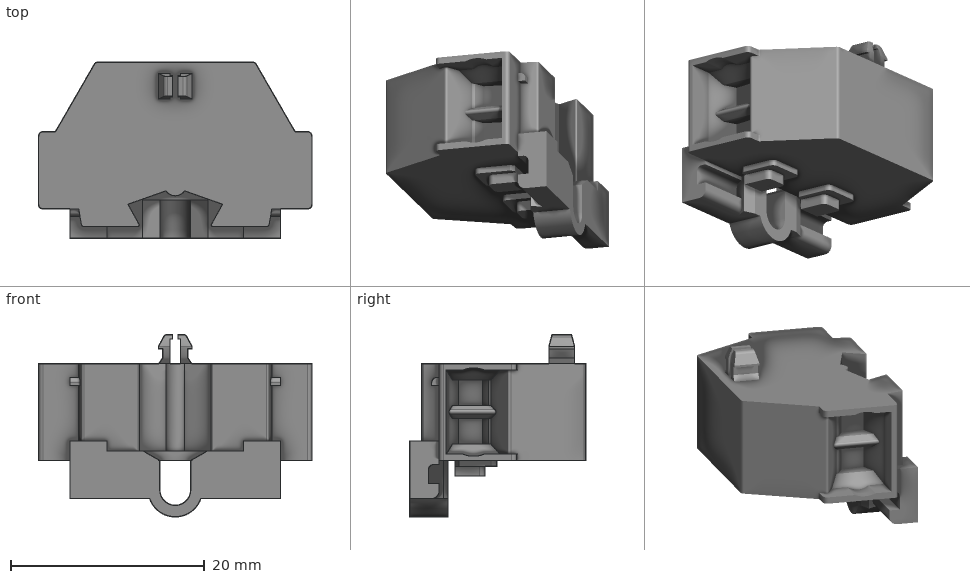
import cadquery as cq
import math


HALF_LENGTH = 14.1
HEIGHT = 10.0
BACK_Y = 18.2
WING_BACK_Y = 11.03
WING_FRONT_Y = 3.05
NOSE_FRONT_Y = 1.25
SHOULDER_X = 12.35
SLOPE_ANGLE = 60.0
NOSE_HALF_ROOT = 9.95
NOSE_HALF_TIP = 9.65
BACK_ROUND = 0.42
WING_BACK_ROUND = 0.5
WING_FRONT_ROUND = 0.45
SHOULDER_ROUND = 0.2
NOSE_ROUND = 0.25

DOVETAIL_MOUTH_X = 3.6
DOVETAIL_WIDE_X = 4.88
DOVETAIL_WIDE_Y = 3.52
DOVETAIL_RIDGE_X = 0.95
DOVETAIL_RIDGE_Y = 4.9
DOVETAIL_BUMP_Y = 4.4
MOUTH_ROUND = 0.15

PLATE = 0.68
WALL_Y = 3.78
FUNNEL_X = 11.28
FUNNEL_BACK_Y = 9.33
THROAT_X = 9.65
THROAT_FRONT_Y = 4.43
ENTRY_ANGLE = 30.0
FUNNEL_RISE = 1.02
LEDGE = 0.25
CHAMBER_BACK_DROP = 0.62
CHAMBER_END_X = 8.12
CORE_ROUND = 0.25
DIVIDER = 1.35
DIVIDER_NOSE = 0.5
NOSE_BULGE = 0.2
SCALLOP_Y = 6.6
SCALLOP_HALF = 1.1
SCALLOP_DEPTH = 0.23

FOOT_HALF = 10.85
FOOT_TOP = 2.03
FOOT_STEP_X = 7.02
FOOT_STEP_Z = 1.02
FOOT_BOTTOM = -3.92
TONGUE_BACK_Y = 3.98
SLOT_RADIUS = 1.58
EYE_RADIUS = 2.8
EYE_Z = -3.02
V_HALF = 3.35
HOOK_TOP_Z = -0.4
HOOK_LIP_Z = -2.37
HOOK_FLOOR_Y = 1.95
HOOK_ROUND = 0.55
FOOT_ROUND = 0.8

PEG_BACK_Y = 17.03
PEG_FRONT_Y = 14.35
PEG_TOP = 13.0
PEG_GAP = 0.54
PEG_LIP = 0.28
PEG_LIP_Z = 12.52
PEG_STEM_X = 1.3
PEG_ROOT_X = 1.7
PEG_ROOT_Z = 10.6
PEG_BARB_X = 1.75
PEG_BARB_Z = 11.75
PEG_BARB_THICK = 0.23
PEG_SHOULDER_X = 1.07
PEG_ROUND = 0.45
PEG_TAPER = 0.35

NIB_BOTTOM = 7.73
NIB_TOP = 8.57
NIB_FRONT_Y = 2.28
NIB_ROUND = 0.54

PAD_FRONT_Y = 4.68
PAD_X = 4.8
PAD_ROUND = 0.6
PAD_CHAMFER = 0.42
PAD_BACK_Y = 9.0
PAD_HALF = 2.25
PAD_DEPTH = 0.6
STUD_BACK_Y = 7.78
STUD_HALF = 1.4
STUD_DEPTH = 1.6

MID_Z = HEIGHT / 2
EPS = 0.28
SLOPE_RUN = 1 / math.tan(math.radians(SLOPE_ANGLE))
ROOF_SLOPE = (DOVETAIL_RIDGE_Y - DOVETAIL_WIDE_Y) / (DOVETAIL_WIDE_X - DOVETAIL_RIDGE_X)
TONGUE_BACK_X = DOVETAIL_WIDE_X - (TONGUE_BACK_Y - DOVETAIL_WIDE_Y) / ROOF_SLOPE
ENTRY_SLOPE = math.tan(math.radians(ENTRY_ANGLE))


def mirrored(points):
    """Close a right-hand chain of points with its mirror image in X = 0."""
    return points + [(-x, y) for x, y in reversed(points)]


def both_sides(solid):
    """Add the mirror image of a right-hand solid."""
    return solid.union(solid.mirror("YZ"))


def round_at(solid, x, y, radius):
    """Round the vertical edges at (x, y) and (-x, y)."""
    reach = 0.015
    for side in (x, -x):
        box = cq.selectors.BoxSelector(
            (side - reach, y - reach, -HEIGHT), (side + reach, y + reach, 2 * HEIGHT)
        )
        solid = solid.edges("|Z").edges(box).fillet(radius)
    return solid


def make_body():
    """Upright prism with sloped flanks, two wings and a dovetail groove in the nose."""
    back_x = SHOULDER_X - (BACK_Y - WING_BACK_Y) * SLOPE_RUN
    right_half = [
        (back_x, BACK_Y),
        (SHOULDER_X, WING_BACK_Y),
        (HALF_LENGTH, WING_BACK_Y),
        (HALF_LENGTH, WING_FRONT_Y),
        (NOSE_HALF_ROOT, WING_FRONT_Y),
        (NOSE_HALF_TIP, NOSE_FRONT_Y),
        (DOVETAIL_MOUTH_X, NOSE_FRONT_Y),
        (DOVETAIL_WIDE_X, DOVETAIL_WIDE_Y),
        (DOVETAIL_RIDGE_X, DOVETAIL_RIDGE_Y),
    ]
    left_half = mirrored(right_half)[len(right_half):]
    body = (
        cq.Workplane("XY")
        .polyline(right_half)
        .threePointArc((0, DOVETAIL_BUMP_Y), left_half[0])
        .polyline(left_half, includeCurrent=False)
        .close()
        .extrude(HEIGHT)
    )
    body = round_at(body, back_x, BACK_Y, BACK_ROUND)
    body = round_at(body, SHOULDER_X, WING_BACK_Y, SHOULDER_ROUND)
    body = round_at(body, HALF_LENGTH, WING_BACK_Y, WING_BACK_ROUND)
    body = round_at(body, HALF_LENGTH, WING_FRONT_Y, WING_FRONT_ROUND)
    body = round_at(body, NOSE_HALF_TIP, NOSE_FRONT_Y, NOSE_ROUND)
    return round_at(body, DOVETAIL_MOUTH_X, NOSE_FRONT_Y, MOUTH_ROUND)


def make_wing_opening():
    """Space between the two wing plates, outside the core of the body."""
    flank_at_funnel = WING_BACK_Y - (FUNNEL_X - SHOULDER_X) / SLOPE_RUN
    corner_x = FUNNEL_X + (flank_at_funnel - FUNNEL_BACK_Y) / (ENTRY_SLOPE + 1 / SLOPE_RUN)
    corner_y = FUNNEL_BACK_Y + (corner_x - FUNNEL_X) * ENTRY_SLOPE
    clear_y = WING_BACK_Y + EPS
    outline = [
        (HALF_LENGTH + EPS, WALL_Y),
        (FUNNEL_X, WALL_Y),
        (FUNNEL_X, FUNNEL_BACK_Y),
        (corner_x, corner_y),
        (SHOULDER_X - EPS * SLOPE_RUN, clear_y),
        (HALF_LENGTH + EPS, clear_y),
    ]
    opening = (
        cq.Workplane("XY", origin=(0, 0, PLATE))
        .polyline(outline)
        .close()
        .extrude(HEIGHT - 2 * PLATE)
    )
    corner = cq.selectors.NearestToPointSelector((corner_x, corner_y, MID_Z))
    return opening.edges("|Z").edges(corner).fillet(CORE_ROUND)


def make_entry():
    """Twin wire entry: a slanted plan shape limited in height by funnel ramps and a divider."""
    outer_x = HALF_LENGTH + EPS
    throat_back_y = FUNNEL_BACK_Y - (FUNNEL_X - THROAT_X) * ENTRY_SLOPE
    ledge_x = THROAT_X - LEDGE * ENTRY_SLOPE
    ledge_y = throat_back_y - LEDGE
    chamber_x = ledge_x - CHAMBER_BACK_DROP / ENTRY_SLOPE
    chamber_y = ledge_y - CHAMBER_BACK_DROP
    front_slope = (THROAT_FRONT_Y - WALL_Y) / (FUNNEL_X - THROAT_X)
    plan = [
        (outer_x, WALL_Y),
        (FUNNEL_X, WALL_Y),
        (CHAMBER_END_X, WALL_Y + (FUNNEL_X - CHAMBER_END_X) * front_slope),
        (chamber_x, chamber_y),
        (ledge_x, ledge_y),
        (THROAT_X, throat_back_y),
        (FUNNEL_X, FUNNEL_BACK_Y),
        (outer_x, FUNNEL_BACK_Y),
    ]
    plan_solid = cq.Workplane("XY").polyline(plan).close().extrude(HEIGHT)

    ramp = FUNNEL_RISE / (FUNNEL_X - THROAT_X)
    mouth_half = MID_Z - PLATE
    throat_half = mouth_half - FUNNEL_RISE
    groove_half = mouth_half + SCALLOP_DEPTH
    groove_x = FUNNEL_X + SCALLOP_DEPTH / ramp
    nose_x = THROAT_X + (DIVIDER - DIVIDER_NOSE) / 2 / ramp
    inner_x = 0
    upper_half = [
        (outer_x, groove_half),
        (groove_x, groove_half),
        (THROAT_X, throat_half),
        (inner_x, throat_half),
    ]
    height_limit = (
        cq.Workplane("XZ", origin=(0, 0, MID_Z))
        .polyline(upper_half + [(x, -z) for x, z in reversed(upper_half)])
        .close()
        .extrude(-BACK_Y)
    )
    divider = (
        cq.Workplane("XZ", origin=(0, 0, MID_Z))
        .moveTo(inner_x, -DIVIDER / 2)
        .lineTo(THROAT_X, -DIVIDER / 2)
        .lineTo(nose_x, -DIVIDER_NOSE / 2)
        .threePointArc((nose_x + NOSE_BULGE, 0), (nose_x, DIVIDER_NOSE / 2))
        .lineTo(THROAT_X, DIVIDER / 2)
        .lineTo(inner_x, DIVIDER / 2)
        .close()
        .extrude(-BACK_Y)
    )
    room = (
        cq.Workplane("XY", origin=(0, 0, PLATE))
        .rect(2 * outer_x, 2 * BACK_Y)
        .extrude(2 * mouth_half)
    )
    scallop_radius = (SCALLOP_HALF**2 + SCALLOP_DEPTH**2) / (2 * SCALLOP_DEPTH)
    for axis_offset in (groove_half - scallop_radius, scallop_radius - groove_half):
        room = room.union(
            cq.Workplane("YZ")
            .center(SCALLOP_Y, MID_Z + axis_offset)
            .circle(scallop_radius)
            .extrude(outer_x)
        )
    return plan_solid.intersect(height_limit).cut(divider).intersect(room)


def make_foot():
    """Foot rail with hooked back, dovetail tongue and slotted eye."""
    right_half = [
        (0, 0),
        (SLOT_RADIUS, 0),
        (V_HALF, FOOT_STEP_Z),
        (FOOT_STEP_X, FOOT_STEP_Z),
        (FOOT_STEP_X, FOOT_TOP),
        (FOOT_HALF, FOOT_TOP),
        (FOOT_HALF, FOOT_BOTTOM),
    ]
    outline = cq.Workplane("XZ").polyline(mirrored(right_half)).close().extrude(-TONGUE_BACK_Y)
    eye = cq.Workplane("XZ").center(0, EYE_Z).circle(EYE_RADIUS).extrude(-TONGUE_BACK_Y)
    slot = (
        cq.Workplane("XZ")
        .moveTo(-SLOT_RADIUS, FOOT_TOP)
        .lineTo(-SLOT_RADIUS, EYE_Z)
        .threePointArc((0, EYE_Z - SLOT_RADIUS), (SLOT_RADIUS, EYE_Z))
        .lineTo(SLOT_RADIUS, FOOT_TOP)
        .close()
        .extrude(-TONGUE_BACK_Y)
    )
    hook_arc = HOOK_ROUND * (1 - math.sqrt(0.5))
    foot_arc = FOOT_ROUND * (1 - math.sqrt(0.5))
    rail = (
        cq.Workplane("YZ", origin=(-FOOT_HALF, 0, 0))
        .moveTo(0, FOOT_TOP)
        .lineTo(WING_FRONT_Y, FOOT_TOP)
        .lineTo(WING_FRONT_Y, HOOK_TOP_Z)
        .lineTo(HOOK_FLOOR_Y + HOOK_ROUND, HOOK_TOP_Z)
        .threePointArc(
            (HOOK_FLOOR_Y + hook_arc, HOOK_TOP_Z - hook_arc), (HOOK_FLOOR_Y, HOOK_TOP_Z - HOOK_ROUND)
        )
        .lineTo(HOOK_FLOOR_Y, HOOK_LIP_Z)
        .lineTo(WING_FRONT_Y, HOOK_LIP_Z)
        .lineTo(WING_FRONT_Y, FOOT_BOTTOM + FOOT_ROUND)
        .threePointArc(
            (WING_FRONT_Y - foot_arc, FOOT_BOTTOM + foot_arc), (WING_FRONT_Y - FOOT_ROUND, FOOT_BOTTOM)
        )
        .lineTo(0, FOOT_BOTTOM)
        .close()
        .extrude(2 * FOOT_HALF)
    )
    tongue_half = [
        (DOVETAIL_MOUTH_X, 0),
        (DOVETAIL_MOUTH_X, NOSE_FRONT_Y),
        (DOVETAIL_WIDE_X, DOVETAIL_WIDE_Y),
        (TONGUE_BACK_X, TONGUE_BACK_Y),
    ]
    tongue = (
        cq.Workplane("XY", origin=(0, 0, EYE_Z - EYE_RADIUS))
        .polyline(mirrored(tongue_half))
        .close()
        .extrude(FOOT_TOP - (EYE_Z - EYE_RADIUS))
    )
    return rail.union(tongue).intersect(outline.union(eye)).cut(slot)


def make_sill():
    """Low web that closes the groove behind the tongue, level with the foot step."""
    right_half = [(DOVETAIL_RIDGE_X, DOVETAIL_RIDGE_Y), (TONGUE_BACK_X, TONGUE_BACK_Y)]
    return cq.Workplane("XY").polyline(mirrored(right_half)).close().extrude(FOOT_STEP_Z)


def make_peg():
    """Right half of the split snap peg, tapered above its barb."""
    profile = (
        cq.Workplane("XZ", origin=(0, PEG_FRONT_Y, 0))
        .polyline([
            (PEG_GAP, HEIGHT - EPS),
            (PEG_GAP, PEG_LIP_Z),
            (PEG_LIP, PEG_LIP_Z),
            (PEG_LIP, PEG_TOP),
            (PEG_SHOULDER_X, PEG_TOP),
            (PEG_BARB_X, PEG_BARB_Z),
            (PEG_BARB_X, PEG_BARB_Z - PEG_BARB_THICK),
            (PEG_STEM_X, PEG_BARB_Z - PEG_BARB_THICK),
            (PEG_STEM_X, PEG_ROOT_Z),
            (PEG_ROOT_X, HEIGHT),
            (PEG_ROOT_X, HEIGHT - EPS),
        ])
        .close()
        .extrude(PEG_FRONT_Y - PEG_BACK_Y)
    )
    shoulder = cq.selectors.NearestToPointSelector((PEG_SHOULDER_X, (PEG_FRONT_Y + PEG_BACK_Y) / 2, PEG_TOP))
    profile = profile.edges("|Y").edges(shoulder).fillet(PEG_ROUND)
    taper = (
        cq.Workplane("YZ")
        .polyline([
            (PEG_FRONT_Y, 0),
            (PEG_FRONT_Y, PEG_BARB_Z),
            (PEG_FRONT_Y + PEG_TAPER, PEG_TOP),
            (PEG_BACK_Y - PEG_TAPER, PEG_TOP),
            (PEG_BACK_Y, PEG_BARB_Z),
            (PEG_BACK_Y, 0),
        ])
        .close()
        .extrude(HALF_LENGTH)
    )
    return profile.intersect(taper)


def make_nib():
    """Small rounded-top nib filling the corner between nose and wing."""
    nib = (
        cq.Workplane("XY", origin=(0, 0, NIB_BOTTOM))
        .moveTo(NOSE_HALF_TIP - EPS, NIB_FRONT_Y)
        .lineTo(FOOT_HALF, NIB_FRONT_Y)
        .lineTo(FOOT_HALF, WING_FRONT_Y + EPS)
        .lineTo(NOSE_HALF_TIP - EPS, WING_FRONT_Y + EPS)
        .close()
        .extrude(NIB_TOP - NIB_BOTTOM)
    )
    return nib.faces("<Y").edges(">Z").fillet(NIB_ROUND)


def make_pad_block(half_width, back_y, depth):
    """Block hanging under the body with its two rear corners rounded."""
    length = back_y - PAD_FRONT_Y
    block = (
        cq.Workplane("XY")
        .center(PAD_X, PAD_FRONT_Y + length / 2)
        .rect(2 * half_width, length)
        .extrude(-depth)
    )
    return block.faces(">Y").edges("|Z").fillet(PAD_ROUND)


def make_pad():
    """Flat pad with a narrower stud below it."""
    pad = make_pad_block(PAD_HALF, PAD_BACK_Y, PAD_DEPTH)
    pad = pad.faces("<Y").edges("|Z").chamfer(PAD_CHAMFER)
    return pad.union(make_pad_block(STUD_HALF, STUD_BACK_Y, STUD_DEPTH))


result = (
    make_body()
    .cut(both_sides(make_wing_opening()))
    .cut(both_sides(make_entry()))
    .union(make_sill())
    .union(make_foot())
    .union(both_sides(make_peg()))
    .union(both_sides(make_nib()))
    .union(both_sides(make_pad()))
    .clean()
)